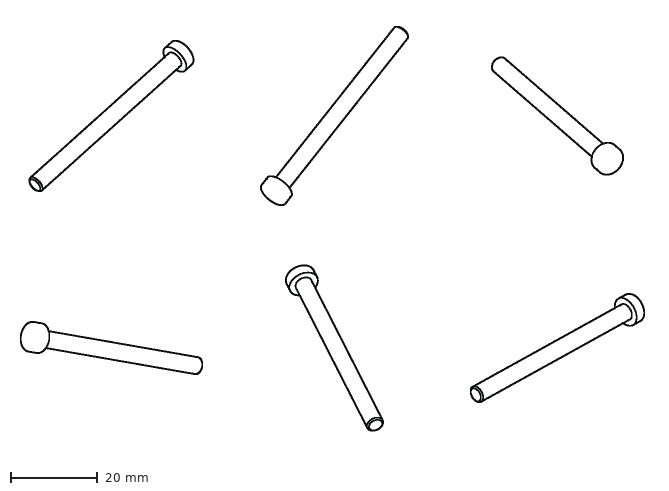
import cadquery as cq

total_length = 52.8
head_diameter = 7.0
head_height = 2.8
shank_diameter = 4.0
tip_chamfer = 0.35
head_fillet = 0.35

tip_y = -total_length / 2
shank_length = total_length - head_height


def cylinder_along_y(diameter, start_y, length):
    """Solid cylinder on the Y axis, growing toward +Y from start_y."""
    base = cq.Workplane("XZ", origin=(0, start_y, 0))
    return base.circle(diameter / 2).extrude(-length)


shank = cylinder_along_y(shank_diameter, tip_y, shank_length).faces("<Y").chamfer(tip_chamfer)

head = cylinder_along_y(head_diameter, tip_y + shank_length, head_height).faces(">Y").edges().fillet(head_fillet)

result = shank.union(head)